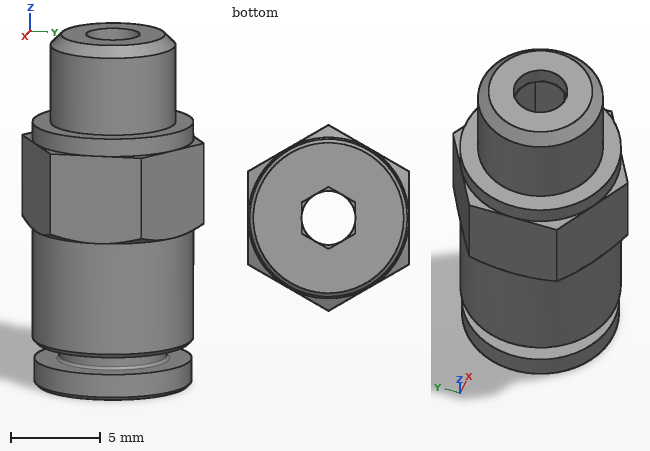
import cadquery as cq
import math

total_height = 20.0
collar_height = 1.5
neck_top = 2.45
hex_bottom = 9.0
hex_height = 5.0
flange_height = 1.0
hex_top = hex_bottom + hex_height
flange_top = hex_top + flange_height

body_diameter = 9.0
collar_diameter = 8.8
neck_diameter = 6.0
spigot_diameter = 7.0
bore_diameter = 3.0
bore_depth = 1.0

hex_flats = body_diameter
corners_per_flats = 1 / math.cos(math.radians(30))
hex_corners = hex_flats * corners_per_flats
socket_corners = bore_diameter * corners_per_flats
hex_chamfer_angle = 30.0

collar_chamfer = 0.2
body_chamfer = 0.25
neck_fillet = 0.15
spigot_chamfer = 0.6


def disc(diameter, bottom, top):
    """Upright cylinder between two heights."""
    return cq.Workplane("XY").workplane(offset=bottom).circle(diameter / 2).extrude(top - bottom)


def release_collar():
    """Push ring at the base, joined to the body by a narrower filleted neck."""
    ring = disc(collar_diameter, 0, collar_height).faces("<Z").edges().chamfer(collar_chamfer)
    collar = ring.union(disc(neck_diameter, collar_height, neck_top))
    root = cq.selectors.RadiusNthSelector(0)
    return collar.faces("<Z[-2]").edges(root).fillet(neck_fillet)


def body():
    """Round sleeve below the hexagon."""
    return disc(body_diameter, neck_top, hex_bottom).faces("<Z").edges().chamfer(body_chamfer)


def hex_prism(corners, bottom, top):
    """Upright hexagonal prism with two corners on the Y axis."""
    base = cq.Workplane("XY").workplane(offset=bottom).transformed(rotate=(0, 0, 90))
    return base.polygon(6, corners).extrude(top - bottom)


def hexagon():
    """Wrench hexagon whose lower corners are turned back to a cone."""
    prism = hex_prism(hex_corners, hex_bottom, hex_top)
    small_radius = hex_flats / 2
    large_radius = hex_corners / 2
    cone_top = hex_bottom + (large_radius - small_radius) * math.tan(math.radians(hex_chamfer_angle))
    envelope = (
        cq.Workplane("XZ")
        .moveTo(0, hex_bottom)
        .lineTo(small_radius, hex_bottom)
        .lineTo(large_radius, cone_top)
        .lineTo(large_radius, hex_top)
        .lineTo(0, hex_top)
        .close()
        .revolve(360, (0, 0), (0, 1))
    )
    return prism.intersect(envelope)


def spigot():
    """Plain round end on a sealing flange."""
    flange = disc(body_diameter, hex_top, flange_top)
    end = disc(spigot_diameter, flange_top, total_height).faces(">Z").edges().chamfer(spigot_chamfer)
    return flange.union(end)


def passage():
    """Short round bore at the top, continuing to the base as a hexagon of equal width across flats."""
    bore_bottom = total_height - bore_depth
    round_bore = disc(bore_diameter, bore_bottom, total_height)
    return round_bore.union(hex_prism(socket_corners, 0, bore_bottom))


result = release_collar().union(body()).union(hexagon()).union(spigot()).cut(passage())